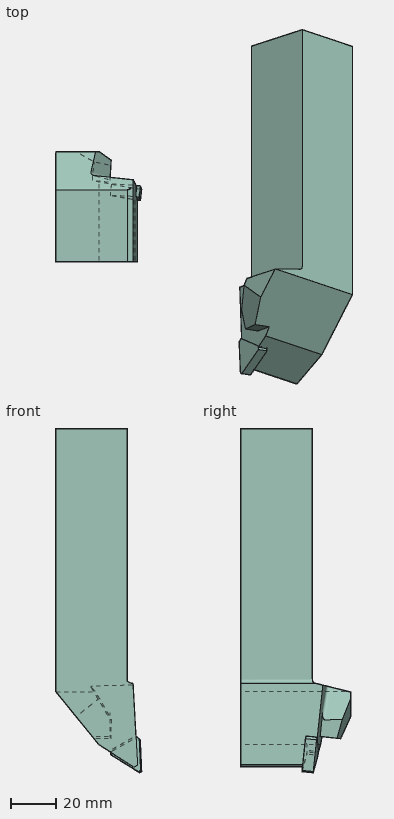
import cadquery as cq

total_height = 152.4
head_depth = 48.8
shank_side = 31.7

heel_z = 36.0
flank_break = (19.0, 12.5)
nose = [(34.5, 2.6), (35.2, 2.7), (36.3, 3.7)]
side_top = (34.3, 39.6)

shoulder_back_z = 35.8
shoulder_slope = 0.25
shoulder_front_z = shoulder_back_z + shoulder_slope * (head_depth - shank_side)
shoulder_fillet = 1.5

insert_tip = (37.2, 32.2, 0.0)
rake_normal = (0.11, 1.0, -0.1)
insert_thickness = 5.0

jaw_ramp = ((17.8, 48.8, 35.5), (1.0, -0.08, 0.6))
jaw_side = ((24.4, 41.1, 22.9), (1.0, -0.06, 0.0))
jaw_chamfer = ((8.92, 48.8, 24.8), (0.22, 1.0, -0.28))
jaw_bottom = ((16.8, 44.3, 15.1), (0.0, -0.107, -1.0))
gutter_fillet = 1.5
ramp_foot = (19.7, 37.2, 31.0)

insert_outline = [(24.7, 7.8), (37.2, 0.0), (38.1, 0.6), (37.5, 14.6), (36.0, 15.8), (24.7, 9.5)]

cutter_size = 457.2


def space_outside(point, normal):
    """Block filling the side of a plane toward which its normal points."""
    plane = cq.Plane(origin=point, normal=normal)
    return cq.Workplane(plane).rect(cutter_size, cutter_size).extrude(cutter_size)


def rake_point(x, z):
    """Point of the rake plane above a given X and Z."""
    tip_x, tip_y, tip_z = insert_tip
    normal_x, normal_y, normal_z = rake_normal
    y = tip_y - (normal_x * (x - tip_x) + normal_z * (z - tip_z)) / normal_y
    return cq.Vector(x, y, z)


def make_insert():
    outline = cq.Wire.makePolygon([rake_point(x, z) for x, z in insert_outline], close=True)
    inward = cq.Vector(*rake_normal).normalized() * -insert_thickness
    return cq.Workplane(obj=cq.Solid.extrudeLinear(outline, [], inward))


def make_shank():
    return cq.Workplane().box(shank_side, shank_side, total_height - heel_z, centered=False).translate(
        (0, 0, heel_z)
    )


def make_head_blank():
    """Head prism topped by the shoulder, which falls toward +Y and +X."""
    side_shoulder_slope = (shoulder_front_z - side_top[1]) / (side_top[0] - shank_side)
    outline = [(0, heel_z), flank_break, *nose, side_top, (shank_side, shoulder_front_z), (0, shoulder_front_z)]
    head = cq.Workplane("XZ").polyline(outline).close().extrude(-head_depth)
    back_slope = space_outside((0, head_depth, shoulder_back_z), (0, shoulder_slope, 1))
    side_slope = space_outside((side_top[0], 0, side_top[1]), (side_shoulder_slope, 0, 1))
    return head.cut(back_slope).cut(side_slope)


def make_chip_gutter():
    """Space above the rake plane, apart from the upper jaw."""
    jaw = cq.Workplane().box(cutter_size, cutter_size, cutter_size)
    for point, normal in (jaw_ramp, jaw_side, jaw_chamfer, jaw_bottom):
        jaw = jaw.cut(space_outside(point, normal))
    return space_outside(insert_tip, rake_normal).cut(jaw)


def shoulder_corner_box():
    """Opposite corners of a box around the two edges where the shoulder meets the shank."""
    margin = 0.2
    return (
        (margin, margin, shoulder_front_z - margin),
        (shank_side + margin, shank_side + margin, shoulder_front_z + margin),
    )


def make_holder(insert):
    head = make_head_blank().cut(make_chip_gutter())
    holder = make_shank().union(head)
    holder = holder.edges(cq.selectors.BoxSelector(*shoulder_corner_box())).fillet(shoulder_fillet)
    holder = holder.edges(cq.selectors.NearestToPointSelector(ramp_foot)).fillet(gutter_fillet)
    return holder.cut(insert)


insert = make_insert()
holder = make_holder(insert)

result = cq.Compound.makeCompound([holder.val(), insert.val()])